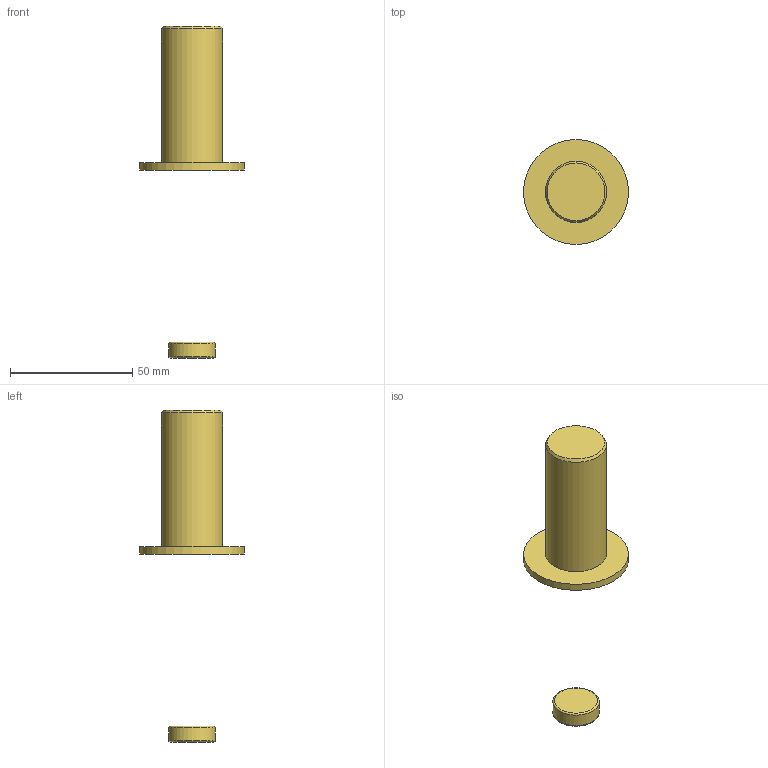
import cadquery as cq
import math

overall_height = 136.0
flange_diameter = 43.0
flange_thickness = 3.0
post_diameter = 25.0
post_length = 56.0
post_chamfer_height = 1.2
post_chamfer_angle = 30.0
disc_diameter = 19.0
disc_thickness = 6.45
disc_rim_radius = 0.6

flange_bottom = overall_height - post_length - flange_thickness
post_chamfer_width = post_chamfer_height * math.tan(math.radians(post_chamfer_angle))


def make_flanged_post():
    """Solid of revolution: a thin flange carrying a post with a steep lead-in chamfer."""
    flange_radius = flange_diameter / 2
    post_radius = post_diameter / 2
    flange_top = flange_bottom + flange_thickness
    half_profile = (
        cq.Workplane("XZ")
        .moveTo(0, flange_bottom)
        .lineTo(flange_radius, flange_bottom)
        .lineTo(flange_radius, flange_top)
        .lineTo(post_radius, flange_top)
        .lineTo(post_radius, overall_height - post_chamfer_height)
        .lineTo(post_radius - post_chamfer_width, overall_height)
        .lineTo(0, overall_height)
        .close()
    )
    return half_profile.revolve(360, (0, 0, 0), (0, 1, 0))


def make_disc():
    """Loose disc below the post on the same axis, with both rims rounded."""
    return (
        cq.Workplane("XY")
        .circle(disc_diameter / 2)
        .extrude(disc_thickness)
        .faces("<Z or >Z")
        .edges()
        .fillet(disc_rim_radius)
    )


flanged_post = make_flanged_post()
disc = make_disc()

result = cq.Compound.makeCompound([flanged_post.val(), disc.val()])